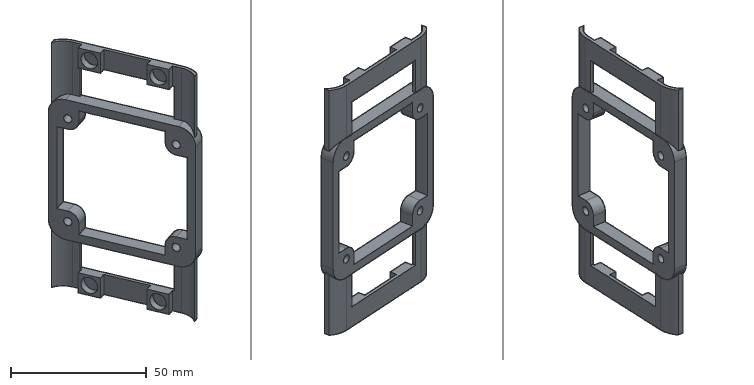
import cadquery as cq
import math

FRAME_SIDE = 60.0
FRAME_DEPTH = 5.7
FRAME_WALL = 3.5
FRAME_CORNER_RADIUS = 7.0

SCREW_OFFSET = 22.0
SCREW_DIAMETER = 3.4
BOSS_RADIUS = 4.5

TOTAL_HEIGHT = 105.0
SHELL_BACK = 5.9
SHELL_WIDTH = 58.2
SHELL_THICKNESS = 1.5
BEND_RADIUS = 10.0
FLAT_HALF_WIDTH = 22.2
WINDOW_WIDTH = 38.2
END_BAR_HEIGHT = 8.6

BLOCK_WIDTH = 9.0
BLOCK_OFFSET = 14.0
BLOCK_FRONT = 1.5
POCKET_DIAMETER = 6.8
POCKET_DEPTH = 3.0

half_frame = FRAME_SIDE / 2
half_opening = half_frame - FRAME_WALL
half_height = TOTAL_HEIGHT / 2
half_shell = SHELL_WIDTH / 2
shell_front = SHELL_BACK - SHELL_THICKNESS
bar_center = half_height - END_BAR_HEIGHT / 2


def block(width, height, front, back, x=0, z=0):
    """Box centred on (x, z), reaching from Y = front to Y = back."""
    return cq.Workplane("XY").box(width, back - front, height).translate((x, (front + back) / 2, z))


def cylinder(diameter, front, back, x, z):
    """Round bar along Y, reaching from Y = front to Y = back."""
    plane = cq.Workplane("XZ", origin=(x, front, z))
    return plane.circle(diameter / 2).extrude(front - back)


def frame_outline(depth):
    """Solid rounded square with the outer outline of the frame."""
    return block(FRAME_SIDE, FRAME_SIDE, 0, depth).edges("|Y").fillet(FRAME_CORNER_RADIUS)


def make_frame():
    opening = block(2 * half_opening, 2 * half_opening, 0, FRAME_DEPTH)
    boss_inner = SCREW_OFFSET - BOSS_RADIUS
    boss_side = half_opening - boss_inner
    boss_center = (half_opening + boss_inner) / 2
    for side, edge_x in ((-1, ">X"), (1, "<X")):
        for level, edge_z in ((-1, ">Z"), (1, "<Z")):
            boss = block(boss_side, boss_side, 0, FRAME_DEPTH, side * boss_center, level * boss_center)
            boss = boss.faces(edge_x).edges(edge_z).fillet(BOSS_RADIUS)
            opening = opening.cut(boss)
    frame = frame_outline(FRAME_DEPTH).cut(opening)
    for x in (-SCREW_OFFSET, SCREW_OFFSET):
        for z in (-SCREW_OFFSET, SCREW_OFFSET):
            frame = frame.cut(cylinder(SCREW_DIAMETER, 0, FRAME_DEPTH, x, z))
    return frame


def bend_point(radius, run):
    """Point on the right-hand bend, a distance run outward from the flat."""
    bend_center = SHELL_BACK - BEND_RADIUS
    return (FLAT_HALF_WIDTH + run, bend_center + math.sqrt(radius**2 - run**2))


def mirrored(point):
    return (-point[0], point[1])


def make_shell():
    bend_run = half_shell - FLAT_HALF_WIDTH
    inner_radius = BEND_RADIUS - SHELL_THICKNESS
    back_start, back_mid, back_end = [bend_point(BEND_RADIUS, bend_run * t) for t in (0, 0.5, 1)]
    front_start, front_mid, front_end = [bend_point(inner_radius, bend_run * t) for t in (0, 0.5, 1)]
    shell = (
        cq.Workplane("XY", origin=(0, 0, -half_height))
        .moveTo(*mirrored(back_start))
        .lineTo(*back_start)
        .threePointArc(back_mid, back_end)
        .lineTo(*front_end)
        .threePointArc(front_mid, front_start)
        .lineTo(*mirrored(front_start))
        .threePointArc(mirrored(front_mid), mirrored(front_end))
        .lineTo(*mirrored(back_end))
        .threePointArc(mirrored(back_mid), mirrored(back_start))
        .close()
        .extrude(TOTAL_HEIGHT)
    )
    window_height = TOTAL_HEIGHT - 2 * END_BAR_HEIGHT
    shell = shell.cut(block(WINDOW_WIDTH, window_height, 0, SHELL_BACK))
    return shell.cut(frame_outline(SHELL_BACK))


def add_magnet_blocks(body):
    for x in (-BLOCK_OFFSET, BLOCK_OFFSET):
        for z in (-bar_center, bar_center):
            body = body.union(block(BLOCK_WIDTH, END_BAR_HEIGHT, BLOCK_FRONT, shell_front, x, z))
            pocket_back = BLOCK_FRONT + POCKET_DEPTH
            body = body.cut(cylinder(POCKET_DIAMETER, BLOCK_FRONT, pocket_back, x, z))
    return body


result = add_magnet_blocks(make_frame().union(make_shell()))